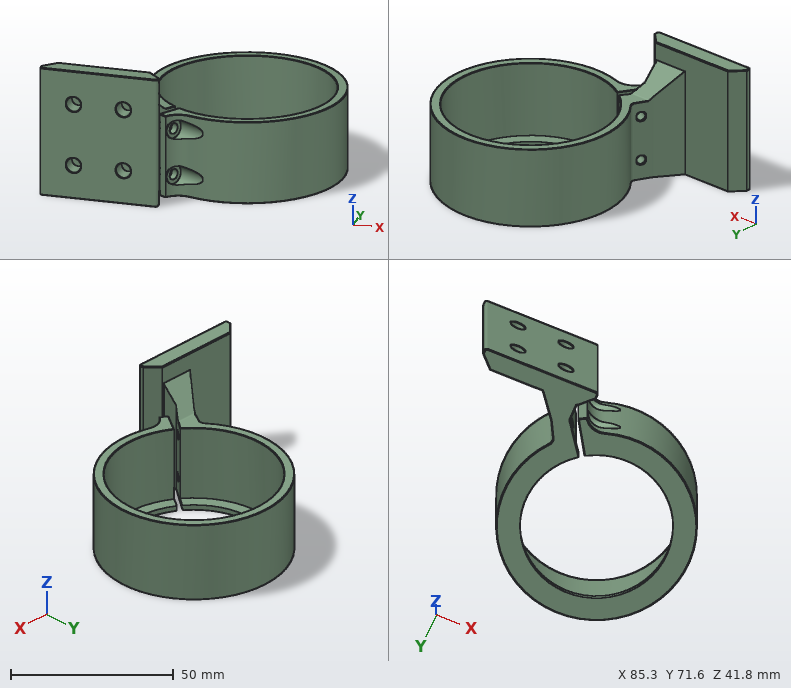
import cadquery as cq
import math

ring_radius = 30.9
bore_radius = 27.7
lip_radius = 23.5
lip_thickness = 1.8
bore_depth = 25.0
ring_height = lip_thickness + bore_depth
edge_bevel = 0.3
top_bevel = 0.2

stem_face_angle = 180 + 53.9
ear_face_angle = 180 + 57.8
split_reach = 2 * ring_radius
lip_corner_radius = 0.5

ear_radius = 35.9
ear_tip_angle = 180 + 62.4
ear_blend_end_angle = 180 + 71.8
ear_corner_radius = 0.5

plate_width = 37.8
plate_height = 40.0 + lip_thickness
plate_thickness = 6.1
plate_left = -54.4
plate_right = plate_left + plate_width
plate_front = -40.65
plate_back = plate_front + plate_thickness
plate_side_bevel = 4.1
plate_edge_radius = 0.8

plate_hole_mouth_diameter = 5.1
plate_hole_diameter = 4.7
plate_hole_end_diameter = 4.0
plate_hole_depth = 5.0
plate_hole_bevel = (plate_hole_mouth_diameter - plate_hole_diameter) / 2
plate_hole_pitch_x = 16.0
plate_hole_pitch_z = 20.0

screw_tilt = 28.5
screw_pitch = 15.0
screw_middle_z = lip_thickness + bore_depth / 2
screw_entry_x = -24.75
screw_entry_y = -23.3
tapped_diameter = 2.8
tapped_mouth_diameter = 3.4
tapped_mouth_depth = (tapped_mouth_diameter - tapped_diameter) / 2
clearance_diameter = 3.4
clearance_start = 6.5
head_diameter = 6.2
head_seat = 11.1
head_bore_length = ring_radius

stem_right = -21.2
stem_foot_left = -32.5
stem_knee_y = -26.6
stem_knee_radius = 4.5
stem_root_y = -21.05
stem_root_ring_y = -19.7
stem_root_radius = 0.9
ramp_start_y = -25.6
ramp_angle = 45.0
ramp_foot_radius = 0.8
stem_foot_flare = 0.3
stem_embed = 1.0


def polar(radius, angle):
    """Point at a radius and an angle in degrees about the ring axis."""
    return (radius * math.cos(math.radians(angle)), radius * math.sin(math.radians(angle)))


def upright_edges_near(point, reach=0.5):
    """Selector for the edges whose middle lies close to a point in plan, at any height."""
    x, y = point
    return cq.selectors.BoxSelector((x - reach, y - reach, 0), (x + reach, y + reach, plate_height))


def fillet_upright(body, point, radius):
    """Round the vertical edge standing at a point in plan."""
    return body.edges("|Z").edges(upright_edges_near(point)).fillet(radius)


def stem_face_point(y):
    """Point at a given Y on the stem's outer face, which is square to the screws."""
    return (screw_entry_x + (y - screw_entry_y) * math.tan(math.radians(screw_tilt)), y)


stem_root = stem_face_point(stem_root_y)
stem_root_ring = (-math.sqrt(ring_radius**2 - stem_root_ring_y**2), stem_root_ring_y)


def make_stem():
    """Full-height arm from the ring, with a small flare where it roots inside the plate."""
    stem_knee = stem_face_point(stem_knee_y)
    foot_spread = stem_foot_flare + stem_embed
    stem_bend_radius = abs(stem_right / math.cos(math.radians(stem_face_angle)))
    stem = (
        cq.Workplane("XY")
        .polyline([
            (stem_foot_left - foot_spread, plate_back - stem_embed),
            (stem_right + foot_spread, plate_back - stem_embed),
            (stem_right, plate_back + stem_foot_flare),
            polar(stem_bend_radius, stem_face_angle),
            polar(bore_radius, stem_face_angle),
            stem_root_ring,
            stem_root,
            stem_knee,
            (stem_foot_left, plate_back + stem_foot_flare),
        ])
        .close()
        .extrude(plate_height)
    )
    return fillet_upright(stem, stem_knee, stem_knee_radius)


def make_ramp():
    """Upper part of the stem, sloping up towards the plate from a rounded foot."""
    foot_turn = math.radians(ramp_angle)
    ramp_rise = (ramp_start_y - plate_back + stem_embed) * math.tan(foot_turn)
    foot_reach = ramp_foot_radius * math.tan(foot_turn / 2)
    foot_start_y = ramp_start_y + foot_reach
    foot_middle = (
        foot_start_y - ramp_foot_radius * math.sin(foot_turn / 2),
        ring_height + ramp_foot_radius * (1 - math.cos(foot_turn / 2)),
    )
    foot_end = (
        foot_start_y - ramp_foot_radius * math.sin(foot_turn),
        ring_height + ramp_foot_radius * (1 - math.cos(foot_turn)),
    )
    side_outline = (
        cq.Workplane("YZ")
        .moveTo(plate_back - stem_embed, ring_height / 2)
        .lineTo(foot_start_y, ring_height / 2)
        .lineTo(foot_start_y, ring_height)
        .threePointArc(foot_middle, foot_end)
        .lineTo(plate_back - stem_embed, ring_height + ramp_rise)
        .close()
        .extrude(2 * ring_radius, both=True)
    )
    return make_stem().intersect(side_outline)


def make_ear():
    """Clamping ear with a concave blend running out tangent to the ring."""
    tip = polar(ear_radius, ear_tip_angle)
    along = ear_radius * math.cos(math.radians(ear_blend_end_angle - ear_tip_angle))
    blend_radius = (ear_radius**2 - 2 * ring_radius * along + ring_radius**2) / (2 * (along - ring_radius))
    centre_x, centre_y = polar(ring_radius + blend_radius, ear_blend_end_angle)
    tip_direction = math.degrees(math.atan2(tip[1] - centre_y, tip[0] - centre_x)) % 360
    middle_x, middle_y = polar(blend_radius, (tip_direction + ear_blend_end_angle - 180) / 2)
    return (
        cq.Workplane("XY")
        .moveTo(*polar(bore_radius, ear_face_angle))
        .lineTo(*polar(ear_radius, ear_face_angle))
        .lineTo(*tip)
        .threePointArc((centre_x + middle_x, centre_y + middle_y), polar(ring_radius, ear_blend_end_angle))
        .lineTo(*polar(bore_radius, ear_blend_end_angle))
        .close()
        .extrude(ring_height)
    )


def make_clamp():
    """Split ring with its inward lip, ear and stem."""
    split = (
        cq.Workplane("XY")
        .polyline([(0, 0), polar(split_reach, stem_face_angle), polar(split_reach, ear_face_angle)])
        .close()
        .extrude(ring_height)
    )
    clamp = cq.Workplane("XY").circle(ring_radius).extrude(ring_height).cut(split)
    below_ring_top = cq.Workplane("XY").circle(split_reach).extrude(ring_height)
    clamp = clamp.union(make_stem().intersect(below_ring_top)).union(make_ear())
    for corner in (stem_root, stem_root_ring):
        clamp = fillet_upright(clamp, corner, stem_root_radius)
    clamp = fillet_upright(clamp, polar(ear_radius, ear_face_angle), ear_corner_radius)
    clamp = clamp.faces("<Z").chamfer(edge_bevel).faces(">Z").chamfer(top_bevel)

    clamp = clamp.cut(cq.Workplane("XY").circle(lip_radius).extrude(lip_thickness))
    bore = cq.Workplane("XY").workplane(offset=lip_thickness).circle(bore_radius).extrude(bore_depth)
    bore_mouth = cq.Workplane(
        cq.Solid.makeCone(
            bore_radius,
            bore_radius + top_bevel,
            top_bevel,
            cq.Vector(0, 0, ring_height - top_bevel),
        )
    )
    clamp = clamp.cut(bore).cut(bore_mouth)
    for face_angle in (stem_face_angle, ear_face_angle):
        clamp = fillet_upright(clamp, polar(lip_radius, face_angle), lip_corner_radius)
    return clamp


def make_plate():
    """Upright plate with bevelled back sides and rounded front edges."""
    plate = (
        cq.Workplane("XY")
        .polyline([
            (plate_left, plate_front),
            (plate_right, plate_front),
            (plate_right, plate_back - plate_side_bevel),
            (plate_right - plate_side_bevel, plate_back),
            (plate_left + plate_side_bevel, plate_back),
            (plate_left, plate_back - plate_side_bevel),
        ])
        .close()
        .extrude(plate_height)
    )
    plate = plate.edges("|Z and <Y").fillet(plate_edge_radius)
    return plate.faces("<Z or >Z").chamfer(edge_bevel)


def make_plate_hole(x, z):
    """Tapered blind hole with a bevelled mouth, sunk into the plate's front face."""
    inward = cq.Vector(0, 1, 0)
    mouth = cq.Solid.makeCone(
        plate_hole_mouth_diameter / 2,
        plate_hole_diameter / 2,
        plate_hole_bevel,
        cq.Vector(x, plate_front, z),
        inward,
    )
    taper = cq.Solid.makeCone(
        plate_hole_diameter / 2,
        plate_hole_end_diameter / 2,
        plate_hole_depth - plate_hole_bevel,
        cq.Vector(x, plate_front + plate_hole_bevel, z),
        inward,
    )
    return cq.Workplane(mouth).union(cq.Workplane(taper))


def make_screw_hole(z):
    """Tapped hole through the stem, clearance hole through the ear and bore for the screw head."""
    direction = cq.Vector(*polar(1, -screw_tilt), 0)
    entry = cq.Vector(screw_entry_x, screw_entry_y, z)
    sections = [
        (tapped_diameter, -clearance_start, clearance_start),
        (clearance_diameter, clearance_start, head_seat),
        (head_diameter, head_seat, head_seat + head_bore_length),
    ]
    hole = cq.Workplane()
    for diameter, start, end in sections:
        hole = hole.add(cq.Solid.makeCylinder(diameter / 2, end - start, entry + direction * start, direction))
    mouth = cq.Solid.makeCone(
        tapped_mouth_diameter / 2,
        tapped_diameter / 2,
        tapped_mouth_depth,
        entry,
        direction,
    )
    return hole.add(mouth).combine()


result = make_clamp().union(make_ramp()).union(make_plate())

for side in (-1, 1):
    result = result.cut(make_screw_hole(screw_middle_z + side * screw_pitch / 2))

for side_x in (-1, 1):
    for side_z in (-1, 1):
        hole_x = (plate_left + plate_right) / 2 + side_x * plate_hole_pitch_x / 2
        hole_z = plate_height / 2 + side_z * plate_hole_pitch_z / 2
        result = result.cut(make_plate_hole(hole_x, hole_z))